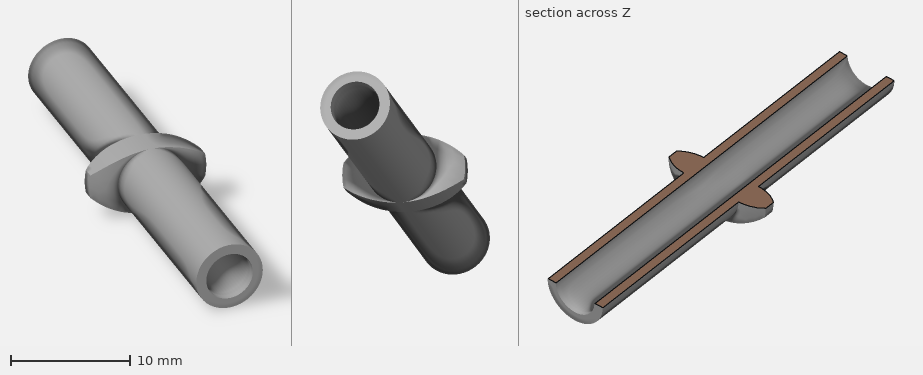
import cadquery as cq
import math

tube_length = 38.5
tube_diameter = 6.0
bore_diameter = 4.2

collar_width = 2.65
collar_span = 10.6
tip_width = 1.05
tip_height = 2.15
shoulder_radius = 3.08

tube_radius = tube_diameter / 2
tip_radius = collar_span / 2


def make_tube():
    return cq.Workplane("YZ").circle(tube_radius).extrude(tube_length / 2, both=True)


def make_collar_disc():
    """Disc about X whose sides curve, tangent to its flat faces, to a narrow rim."""
    half_width = collar_width / 2
    half_tip = tip_width / 2
    return (
        cq.Workplane("XY")
        .moveTo(-half_width, 0)
        .lineTo(-half_width, shoulder_radius)
        .tangentArcPoint((-half_tip, tip_radius), relative=False)
        .lineTo(half_tip, tip_radius)
        .threePointArc(side_arc_midpoint(), (half_width, shoulder_radius))
        .lineTo(half_width, 0)
        .close()
        .revolve(360, (0, 0, 0), (1, 0, 0))
    )


def side_arc_midpoint():
    """Middle of the side arc, which leaves the shoulder in the radial direction."""
    inset = (collar_width - tip_width) / 2
    rise = tip_radius - shoulder_radius
    arc_radius = (inset**2 + rise**2) / (2 * inset)
    half_angle = math.asin(rise / arc_radius) / 2
    x = collar_width / 2 - arc_radius * (1 - math.cos(half_angle))
    return x, shoulder_radius + arc_radius * math.sin(half_angle)


def make_wing_outline():
    """Lens with arcs touching the tube at top and bottom, cut off beyond the tips."""
    corner_z = tip_height / 2
    corner_y = math.sqrt(tip_radius**2 - corner_z**2)
    drop = tube_radius - corner_z
    arc_radius = (corner_y**2 + drop**2) / (2 * drop)
    arc_center_z = tube_radius - arc_radius
    lens_half_length = math.sqrt(arc_radius**2 - arc_center_z**2)
    return (
        cq.Workplane("YZ")
        .moveTo(-lens_half_length, 0)
        .threePointArc((0, tube_radius), (lens_half_length, 0))
        .threePointArc((0, -tube_radius), (-lens_half_length, 0))
        .close()
        .extrude(collar_width, both=True)
    )


collar = make_collar_disc().intersect(make_wing_outline())
bore = cq.Workplane("YZ").circle(bore_diameter / 2).extrude(tube_length, both=True)
result = make_tube().union(collar).cut(bore)